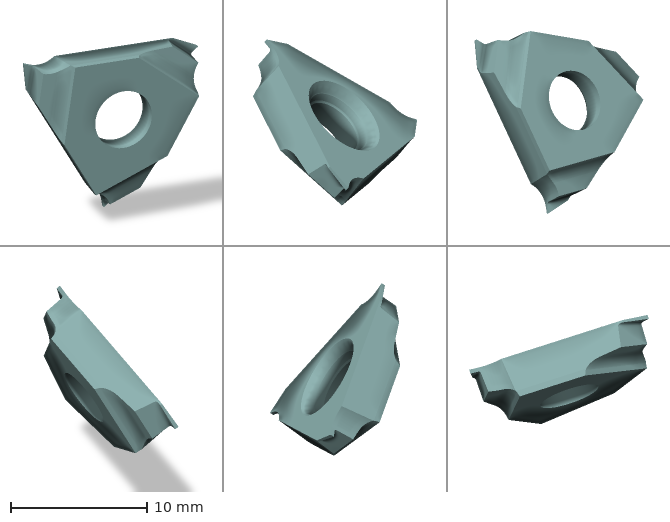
import cadquery as cq
import math


thickness = 3.18
corner_count = 3
corner_pitch = 360 / corner_count
first_corner_angle = 30.0
inscribed_radius_back = 4.718
flank_clearance = 4.7
flank_taper_depth = 2.71
reach = 12.0

tip_radius = 7.972
tip_angle = 32.82
tip_end_lean = 6.0

rake_angle = 20.0
rake_length = 0.55
scallop_radius = 1.98

relief_angle = 8.2
lip_width = 0.307
lip_side_clearance = 3.5
lip_root_radius = 0.17
shoulder_distance = 6.485
shoulder_slope = 3.2
shoulder_back = 1.95
step_lean = 11.0
wall_depth = 2.15
heel_depth = 2.79
heel_distance = 4.46
heel_slope = 16.0

bore_radius = 2.245
seat_profile = [(0, 3.25), (0.69, 2.67), (0.74, 2.62), (1.25, 2.40), (1.31, 2.32), (1.36, bore_radius)]


def tan_deg(angle):
    return math.tan(math.radians(angle))


def polar(radius, angle):
    return (radius * math.cos(math.radians(angle)), radius * math.sin(math.radians(angle)))


def offset(point, distance, angle):
    step = polar(distance, angle)
    return (point[0] + step[0], point[1] + step[1])


def face_plane(depth=0.0):
    """Plane parallel to the front face: local x is across, local y is up."""
    return cq.Workplane(cq.Plane((depth, 0, 0), (0, -1, 0), (-1, 0, 0)))


def turn(solid, angle):
    """Turn a solid about the insert axis, counter-clockwise seen from the front."""
    return solid.rotate((0, 0, 0), (-1, 0, 0), angle)


def triangle(depth, inscribed_radius):
    corners = [polar(2 * inscribed_radius, first_corner_angle + corner_pitch * i) for i in range(corner_count)]
    return face_plane(depth).polyline(corners).close()


def make_body():
    inscribed_radius_front = inscribed_radius_back - flank_taper_depth * tan_deg(flank_clearance)
    front_wire = triangle(0, inscribed_radius_front).val()
    back_wire = triangle(flank_taper_depth, inscribed_radius_back).val()
    tapered = cq.Workplane(cq.Solid.makeLoft([front_wire, back_wire], True))
    straight = triangle(flank_taper_depth, inscribed_radius_back).extrude(flank_taper_depth - thickness)
    return tapered.union(straight)


def make_end_cut():
    """Everything outside the narrow end face of the lip, through the full thickness."""
    tip = polar(tip_radius, tip_angle)
    along = 90 - tip_end_lean
    top = offset(tip, reach, along)
    bottom = offset(tip, -reach, along)
    outline = [top, bottom, offset(bottom, reach, -tip_end_lean), offset(top, reach, -tip_end_lean)]
    return face_plane().polyline(outline).close().extrude(-thickness)


def make_scallop_cut():
    """Round hollow that runs tangent into the flat rake face at the tip."""
    tip = polar(tip_radius, tip_angle)
    rake_start = offset(tip, -rake_length, rake_angle)
    center = offset(rake_start, scallop_radius, rake_angle + 90)
    rake_side = rake_angle + 270
    far_side = 180
    far_point = offset(center, scallop_radius, far_side)
    arc_middle = offset(center, scallop_radius, (far_side + rake_side) / 2)
    rake_end = offset(tip, scallop_radius, rake_angle)
    return (
        face_plane()
        .moveTo(*rake_end)
        .lineTo(*rake_start)
        .threePointArc(arc_middle, far_point)
        .lineTo(far_point[0], reach)
        .lineTo(rake_end[0], reach)
        .close()
        .extrude(-thickness)
    )


def make_shoulder_cut():
    """Space behind the lip, down to the shoulder, with a rounded lip root."""
    tip_height = tip_radius * math.sin(math.radians(tip_angle - relief_angle))
    lip_lean = tan_deg(lip_side_clearance)
    run_direction = cq.Vector(lip_lean, lip_lean * tan_deg(shoulder_slope), 1)
    shoulder_at_lip = shoulder_distance - lip_width * tan_deg(shoulder_slope)
    section = [
        (lip_width, shoulder_at_lip),
        (lip_width, reach),
        (reach, reach),
        (reach, shoulder_distance - reach * tan_deg(shoulder_slope)),
    ]
    points = [cq.Vector(x, -distance, tip_height) - run_direction * reach for x, distance in section]
    face = cq.Face.makeFromWires(cq.Wire.makePolygon(points, close=True))
    cut = cq.Workplane(cq.Solid.extrudeLinear(face, run_direction * (2 * reach)))
    root = cq.NearestToPointSelector((lip_width, -shoulder_at_lip, tip_height))
    return turn(cut.edges(root).fillet(lip_root_radius), relief_angle)


def make_heel_cut():
    """Step behind the shoulder: leaning wall, hollow round and sloping heel."""
    shoulder_end = (shoulder_back, shoulder_back * tan_deg(shoulder_slope) - shoulder_distance)
    wall_end = (wall_depth, shoulder_end[1] + (wall_depth - shoulder_back) / tan_deg(step_lean))
    heel_start = (heel_depth, -heel_distance - (thickness - heel_depth) * tan_deg(heel_slope))
    cut = (
        cq.Workplane("XY")
        .moveTo(*shoulder_end)
        .lineTo(*wall_end)
        .tangentArcPoint(heel_start, relative=False)
        .lineTo(thickness, -heel_distance)
        .lineTo(thickness, -reach)
        .lineTo(shoulder_back, -reach)
        .close()
        .extrude(reach, both=True)
    )
    return turn(cut, relief_angle)


def make_hole():
    outline = [(0, 0)] + seat_profile + [(thickness, bore_radius), (thickness, 0)]
    return cq.Workplane("XY").polyline(outline).close().revolve(360, (0, 0), (1, 0))


corner_cuts = [make_end_cut(), make_scallop_cut(), make_shoulder_cut(), make_heel_cut()]

result = make_body().cut(make_hole())
for corner_index in range(corner_count):
    for corner_cut in corner_cuts:
        result = result.cut(turn(corner_cut, corner_pitch * corner_index))